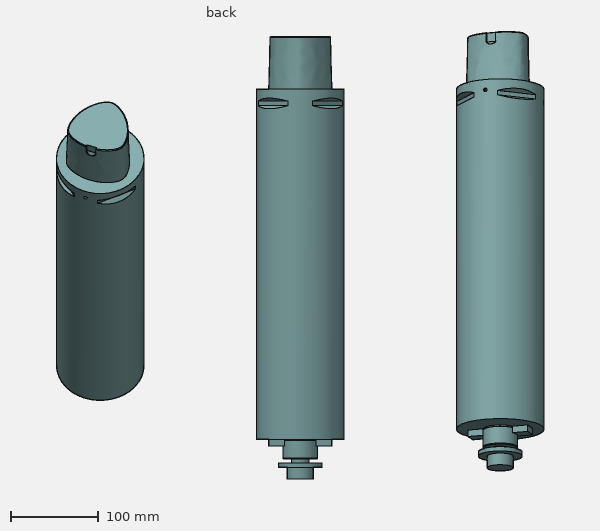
import cadquery as cq
import math

total_length = 505.5
shank_length = 60.0
body_length = 400.0
body_diameter = 100.0
body_top = total_length - shank_length
body_bottom = body_top - body_length
body_radius = body_diameter / 2

shank_width = 72.5
shank_radius = shank_width / 2
shank_lobe = 3.0
curve_points = 48
taper_per_side = 1 / 40
shank_top_chamfer = 1.0

keyway_width = 11.5
keyway_straight = 10.5
keyway_end = 14.0
keyway_floor = 29.0
keyway_mouth = 32.0

notch_angles = (45, 135, 225, 315)
notch_drop = 16.0
notch_mouth = 12.0
notch_floor_height = 5.0
notch_depth = 6.0

hole_diameter = 4.0
hole_drop = 12.0
hole_depth = 4.0

pilot_diameter = 40.0
pilot_length = 22.0
pilot_chamfer = 1.0
relief_diameter = 39.5
relief_height = 1.5
neck_diameter = 20.0
flange_diameter = 50.0
flange_top = 18.5
flange_thickness = 5.0
tip_diameter = 30.0

key_span = 72.5
key_width = 16.5
key_height = 7.5


def cylinder(diameter, bottom, top):
    return cq.Workplane("XY").workplane(offset=bottom).circle(diameter / 2).extrude(top - bottom)


def lobed_wire(height, radius):
    """Closed constant-width curve at the given height, with one of its three lobes toward +Y."""

    def point(turn):
        x = radius * math.sin(turn) + 2 * shank_lobe * math.sin(2 * turn) + shank_lobe * math.sin(4 * turn)
        y = -radius * math.cos(turn) + 2 * shank_lobe * math.cos(2 * turn) - shank_lobe * math.cos(4 * turn)
        return cq.Vector(x, y, height)

    points = [point(2 * math.pi * i / curve_points) for i in range(curve_points)]
    return cq.Wire.assembleEdges([cq.Edge.makeSpline(points, periodic=True)])


def lobed_section(bottom, height, lower_radius, upper_radius):
    lower = lobed_wire(bottom, lower_radius)
    upper = lobed_wire(bottom + height, upper_radius)
    return cq.Workplane(cq.Solid.makeLoft([lower, upper], True))


def make_shank():
    straight_height = shank_length - shank_top_chamfer
    upper_radius = shank_radius - straight_height * taper_per_side
    shank = lobed_section(body_top, straight_height, shank_radius, upper_radius)
    crown = lobed_section(
        body_top + straight_height, shank_top_chamfer, upper_radius, upper_radius - shank_top_chamfer
    )
    return shank.union(crown)


def make_keyway():
    straight_bottom = total_length - keyway_straight
    end_bottom = total_length - keyway_end
    keyway = (
        cq.Workplane("YZ")
        .moveTo(-keyway_floor, total_length)
        .lineTo(-keyway_floor, straight_bottom)
        .lineTo(-keyway_mouth, end_bottom)
        .lineTo(-shank_radius, end_bottom)
        .lineTo(-shank_radius, total_length)
        .close()
        .extrude(keyway_width / 2, both=True)
    )
    round_end = (
        cq.Workplane("XZ")
        .moveTo(-keyway_width / 2, total_length)
        .lineTo(-keyway_width / 2, straight_bottom)
        .threePointArc((0, end_bottom), (keyway_width / 2, straight_bottom))
        .lineTo(keyway_width / 2, total_length)
        .close()
        .extrude(shank_radius)
    )
    return keyway.intersect(round_end)


def make_notch(angle):
    floor = body_radius - notch_depth
    outer = body_radius
    profile = [
        (floor, -notch_floor_height / 2),
        (outer, -notch_mouth / 2),
        (outer, notch_mouth / 2),
        (floor, notch_floor_height / 2),
    ]
    return (
        cq.Workplane("XZ")
        .polyline(profile)
        .close()
        .extrude(body_radius, both=True)
        .translate((0, 0, body_top - notch_drop))
        .rotate((0, 0, 0), (0, 0, 1), angle)
    )


def make_hole():
    return (
        cq.Workplane("XZ", origin=(0, -body_radius, body_top - hole_drop))
        .circle(hole_diameter / 2)
        .extrude(-hole_depth)
    )


def make_arbor():
    pilot_bottom = body_bottom - pilot_length
    relief_bottom = body_bottom - relief_height
    flange_bottom = flange_top - flange_thickness
    pilot = cylinder(pilot_diameter, pilot_bottom, relief_bottom).faces("<Z").chamfer(pilot_chamfer)
    relief = cylinder(relief_diameter, relief_bottom, body_bottom)
    neck = cylinder(neck_diameter, flange_top, pilot_bottom)
    flange = cylinder(flange_diameter, flange_bottom, flange_top)
    tip = cylinder(tip_diameter, 0, flange_bottom)
    return pilot.union(relief).union(neck).union(flange).union(tip)


def make_drive_keys():
    """One bar across the axis; the pilot fills its middle, leaving a key on each side."""
    return (
        cq.Workplane("XY")
        .workplane(offset=body_bottom - key_height)
        .rect(key_span, key_width)
        .extrude(key_height)
    )


body = cylinder(body_diameter, body_bottom, body_top).cut(make_hole())
for notch_angle in notch_angles:
    body = body.cut(make_notch(notch_angle))

shank = make_shank().cut(make_keyway())
result = body.union(shank).union(make_arbor()).union(make_drive_keys())